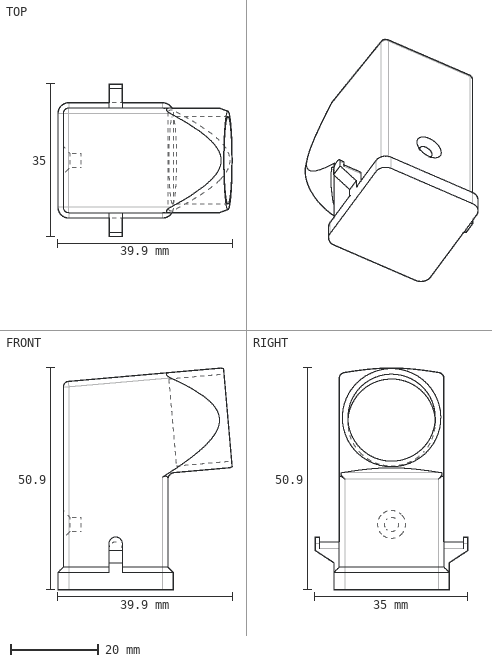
import cadquery as cq
import math

base_width = 26.5
base_straight = 3.95
column_width = 24.0
edge_radius = 1.25
column_half = column_width / 2
base_half = base_width / 2
collar_step = base_half - column_half

tilt = 5
mouth_x = 25.7
mouth_z = 39.45
neck_half_height = 11.5
mouth_radius = 11.3
neck_fillet_radius = 1.45
neck_skirt = 1.5
cone_angle = 20
cone_length = 20.35
bore_radius = 10.0
bore_depth = 12.7

peg_radius = 1.5
peg_reach = 17.5
peg_shaft_z = 9.45
peg_head_z = 10.6
peg_head_thickness = 1
peg_head_bottom = 9.0
peg_gusset_bottom = 6.2

screw_z = 15.0
screw_radius = 1.65
countersink_radius = 3.2
countersink_depth = 1.5
screw_depth = 4.05

tilt_sin = math.sin(math.radians(tilt))
tilt_cos = math.cos(math.radians(tilt))
tilt_tan = tilt_sin / tilt_cos


def neck_point(x, side):
    """Point at x on the upper (side=1) or lower (side=-1) neck face."""
    z = mouth_z + (x - mouth_x) * tilt_tan + side * neck_half_height / tilt_cos
    return (x, z)


def mouth_point(side):
    """Corner of the neck profile on the mouth plane."""
    return neck_point(mouth_x - side * neck_half_height * tilt_sin, side)


def mouth_plane():
    """Plane of the mouth, its normal pointing back into the hood along the outlet axis."""
    return cq.Plane(origin=(mouth_x, 0, mouth_z), xDir=(0, 1, 0), normal=(-tilt_cos, 0, -tilt_sin))


def make_cone_cutter():
    """Ring that leaves a cone on the neck, narrowest at the mouth."""
    far_radius = mouth_radius + cone_length * math.tan(math.radians(cone_angle))
    block = cq.Workplane(mouth_plane()).circle(far_radius).extrude(cone_length)
    cone = cq.Solid.makeCone(
        mouth_radius,
        far_radius,
        cone_length,
        pnt=mouth_plane().origin,
        dir=mouth_plane().zDir,
    )
    return block.cut(cq.Workplane(cone))


def make_column():
    """Square column with rounded upright edges and a sloping top, sharp only under the neck."""
    profile = [
        (-column_half, 0),
        (column_half, 0),
        neck_point(column_half, 1),
        neck_point(-column_half, 1),
    ]
    column = cq.Workplane("XZ").polyline(profile).close().extrude(column_half, both=True)
    column = column.edges("|Z").fillet(edge_radius)
    return column.faces(">Z").edges("not >X").fillet(edge_radius)


def make_neck():
    """Tilted neck from inside the column to the mouth, with a fillet where it leaves the column."""
    corner_x, corner_z = neck_point(column_half, -1)
    profile = [
        (0, corner_z - neck_skirt),
        (corner_x, corner_z - neck_skirt),
        (corner_x, corner_z),
        mouth_point(-1),
        mouth_point(1),
        neck_point(0, 1),
    ]
    neck = cq.Workplane("XZ").polyline(profile).close().extrude(column_half, both=True)
    inner_corner = cq.selectors.NearestToPointSelector((corner_x, 0, corner_z))
    neck = neck.edges("|Y").edges(inner_corner).fillet(neck_fillet_radius)
    neck = neck.faces(">Z").edges("<Y or >Y").fillet(edge_radius)
    return neck.cut(make_cone_cutter())


def make_base():
    """Square collar with a chamfer that runs up to the column faces."""
    collar = cq.Workplane("XY").rect(base_width, base_width).extrude(base_straight + collar_step)
    collar = collar.edges("|Z").fillet(edge_radius + collar_step)
    return collar.faces(">Z").chamfer(collar_step)


def half_round(start, flat_z, length):
    """Half cylinder, flat side down, running from start towards -Y."""
    return (
        cq.Workplane("XZ", origin=(0, -start, flat_z))
        .moveTo(-peg_radius, 0)
        .threePointArc((0, peg_radius), (peg_radius, 0))
        .close()
        .extrude(length)
    )


def make_peg():
    """Peg on the -Y side: round-topped shaft and head above a sloping gusset."""
    shaft_reach = peg_reach - peg_head_thickness
    outline = [
        (0, 0),
        (-base_half, 0),
        (-base_half, peg_gusset_bottom),
        (-peg_reach, peg_head_bottom),
        (-peg_reach, peg_head_z),
        (-shaft_reach, peg_head_z),
        (-shaft_reach, peg_shaft_z),
        (0, peg_shaft_z),
    ]
    peg = cq.Workplane("YZ").polyline(outline).close().extrude(peg_radius, both=True)
    shaft = half_round(0, peg_shaft_z, shaft_reach)
    head = half_round(shaft_reach, peg_head_z, peg_head_thickness)
    return peg.union(shaft).union(head)


def make_screw_hole():
    """Blind countersunk hole entering the -X face."""
    shank = cq.Workplane("YZ", origin=(-column_half, 0, screw_z)).circle(screw_radius).extrude(screw_depth)
    countersink = cq.Solid.makeCone(
        countersink_radius,
        screw_radius,
        countersink_depth,
        pnt=cq.Vector(-column_half, 0, screw_z),
        dir=cq.Vector(1, 0, 0),
    )
    return shank.union(cq.Workplane(countersink))


peg = make_peg()
cable_bore = cq.Workplane(mouth_plane()).circle(bore_radius).extrude(bore_depth)

result = (
    make_column()
    .union(make_neck())
    .union(make_base())
    .union(peg)
    .union(peg.mirror("XZ"))
    .cut(make_screw_hole())
    .cut(cable_bore)
)